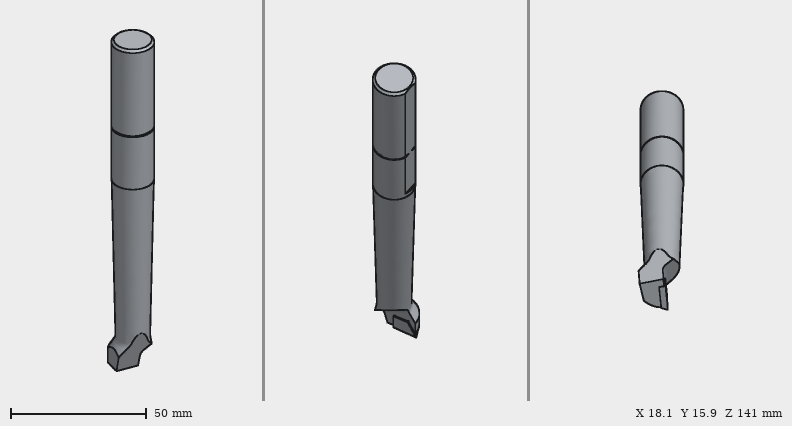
import cadquery as cq
import math


total_length = 141.0
shank_radius = 7.97
shank_bottom = 81.0
end_chamfer = 1.0
flat_offset = 7.3
flat_bottom = 83.1
groove_height = 103.8
groove_depth = 0.5
groove_width = 0.4

neck_top_radius = 7.9
neck_bottom_radius = 6.5
flare_angle = 30.0
flare_bottom = 7.2
head_radius = 9.3
head_bottom = 1.0
blend_length = 1.0
back_angle = 14.4
back_foot_x = 2.1

floor_tilt = 7.0
floor_y = 0.7
ramp_foot_z = 9.7
ramp_slope = 29.0
ramp_lean = 40.0
relief_radius = 3.4
relief_size = 22.5

insert_rise = 0.5
insert_thickness = 2.4
insert_clearance = 10.0
tip_x = -10.2
insert_top_z = 6.8
insert_top_x = -6.5
insert_end_x = -0.4
insert_end_z = 0.4

block = 28.2


def revolved_body():
    """Shank, neck, flare and round head turned about Z."""
    tan_flare = math.tan(math.radians(flare_angle))
    corner_z = flare_bottom + (head_radius - neck_bottom_radius) / tan_flare
    blend_bottom_z = corner_z - blend_length * math.cos(math.radians(flare_angle))
    blend_bottom_r = neck_bottom_radius + blend_length * math.sin(math.radians(flare_angle))
    return (
        cq.Workplane("XZ")
        .moveTo(0, head_bottom)
        .lineTo(head_radius, head_bottom)
        .lineTo(head_radius, flare_bottom)
        .lineTo(blend_bottom_r, blend_bottom_z)
        .tangentArcPoint((neck_bottom_radius, corner_z + blend_length), relative=False)
        .lineTo(neck_top_radius, shank_bottom)
        .lineTo(shank_radius, shank_bottom)
        .lineTo(shank_radius, groove_height - groove_width / 2)
        .lineTo(shank_radius - groove_depth, groove_height)
        .lineTo(shank_radius, groove_height + groove_width / 2)
        .lineTo(shank_radius, total_length - end_chamfer)
        .lineTo(shank_radius - end_chamfer, total_length)
        .lineTo(0, total_length)
        .close()
        .revolve(360, (0, 0, 0), (0, 1, 0))
    )


def clamping_flat():
    """Block that cuts the flat on the -X side of the shank."""
    return (
        cq.Workplane("XY")
        .box(block, block, total_length - flat_bottom, centered=(False, True, False))
        .translate((-flat_offset - block, 0, flat_bottom))
    )


def head_front_flat():
    """Block that cuts the -Y side of the head flush with the shank."""
    return (
        cq.Workplane("XY")
        .box(block, block, block, centered=(True, False, False))
        .translate((0, -shank_radius - block, 0))
    )


def head_back_slope():
    """Wedge that cuts the sloping +X side of the head and the neck end."""
    top_x = back_foot_x + block * math.tan(math.radians(back_angle))
    return (
        cq.Workplane("XZ")
        .polyline([(back_foot_x, 0), (block, 0), (block, block), (top_x, block)])
        .close()
        .extrude(block / 2, both=True)
    )


def relief():
    """Prism that clears the +Y half of the head, with a rounded ramp foot."""
    tilt = math.radians(floor_tilt)
    slope = math.radians(ramp_slope)
    along = cq.Vector(math.cos(tilt), math.sin(tilt), 0)
    up = cq.Vector(0, 0, 1)
    foot = along * math.cos(slope) - up * math.sin(slope)
    down = along * -math.sin(slope) - up * math.cos(slope)
    origin = cq.Vector(0, floor_y, ramp_foot_z)
    ramp_run = relief_size * math.tan(math.radians(ramp_lean))
    return (
        cq.Workplane(cq.Plane(origin, down, foot))
        .polyline([(0, 0), (relief_size, 0), (relief_size, relief_size), (-ramp_run, relief_size)])
        .close()
        .extrude(relief_size, both=True)
        .edges(cq.selectors.NearestToPointSelector(origin.toTuple()))
        .fillet(relief_radius)
    )


def make_insert():
    """Cutting insert whose face is parallel to the relief floor."""
    tilt = math.radians(floor_tilt)
    face_y = floor_y + insert_rise
    along = (math.cos(tilt), math.sin(tilt), 0)
    into_head = (math.sin(tilt), -math.cos(tilt), 0)
    face = cq.Plane((0, face_y, 0), along, into_head)
    outline = [
        (tip_x, 0),
        (insert_end_x, insert_end_z),
        (insert_end_x, insert_top_z),
        (insert_top_x, insert_top_z),
    ]
    return (
        cq.Workplane(face)
        .polyline(outline)
        .close()
        .extrude(insert_thickness, taper=insert_clearance)
    )


def make_bar(insert):
    """Steel bar with a pocket that matches the insert."""
    bar = revolved_body()
    for cutter in (clamping_flat(), head_front_flat(), head_back_slope(), relief(), insert):
        bar = bar.cut(cutter)
    return bar


insert = make_insert()
bar = make_bar(insert)
result = cq.Compound.makeCompound([bar.val(), insert.val()])